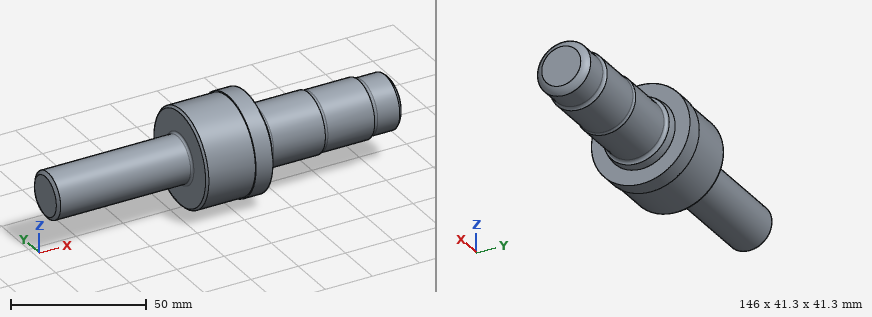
import cadquery as cq
import math

length = 146.0

shaft_radius = 9.6
shaft_tip_radius = 8.2
shaft_tip_length = 1.0
root_fillet = 0.9

head_start = 57.0
head_radius = 20.2
head_chamfer = 0.9
rim_start = 77.5
rim_end = 84.7
rim_diameter = 41.3
rim_radius = rim_diameter / 2

neck_end = 88.2
neck_start_radius = 14.5
neck_end_radius = 13.9
neck_bulge = 0.1

large_start = 89.7
large_end = 111.6
large_diameter = 25.0
large_radius = large_diameter / 2
middle_start = 112.9
middle_end = 132.8
middle_diameter = 24.1
middle_radius = middle_diameter / 2
small_start = 134.5
small_diameter = 22.3
small_radius = small_diameter / 2
nose_start = 143.9
nose_radius = 8.2
nose_bulge = 0.3


def bulged_point(start, end, bulge):
    """Midpoint of a descending chord, moved off the chord by bulge (outward if positive)."""
    dx = end[0] - start[0]
    dr = end[1] - start[1]
    chord = math.hypot(dx, dr)
    middle_x = (start[0] + end[0]) / 2
    middle_r = (start[1] + end[1]) / 2
    return (middle_x - bulge * dr / chord, middle_r + bulge * dx / chord)


def add_arc(outline, start, end, bulge):
    """Add the arc from start to end that rises by bulge above its chord."""
    return outline.threePointArc(bulged_point(start, end, bulge), end)


def add_step(outline, start, end):
    """Add a concave arc that runs out tangent to the smaller cylinder."""
    dx = end[0] - start[0]
    drop = start[1] - end[1]
    arc_radius = (dx**2 + drop**2) / (2 * drop)
    sagitta = arc_radius - math.sqrt(arc_radius**2 - (dx**2 + drop**2) / 4)
    return add_arc(outline, start, end, -sagitta)


def spindle_outline():
    """Closed half section: X along the axis, Y as the radius."""
    outline = (
        cq.Workplane("XY")
        .moveTo(0, 0)
        .lineTo(0, shaft_tip_radius)
        .lineTo(shaft_tip_length, shaft_radius)
        .lineTo(head_start - root_fillet, shaft_radius)
        .radiusArc((head_start, shaft_radius + root_fillet), -root_fillet)
        .lineTo(head_start, head_radius - head_chamfer)
        .lineTo(head_start + head_chamfer, head_radius)
        .lineTo(rim_start, head_radius)
        .lineTo(rim_start, rim_radius)
        .lineTo(rim_end, rim_radius)
        .lineTo(rim_end, neck_start_radius)
    )
    outline = add_arc(outline, (rim_end, neck_start_radius), (neck_end, neck_end_radius), neck_bulge)
    outline = add_step(outline, (neck_end, neck_end_radius), (large_start, large_radius))
    outline = outline.lineTo(large_end, large_radius)
    outline = add_step(outline, (large_end, large_radius), (middle_start, middle_radius))
    outline = outline.lineTo(middle_end, middle_radius)
    outline = add_step(outline, (middle_end, middle_radius), (small_start, small_radius))
    outline = outline.lineTo(nose_start, small_radius)
    outline = add_arc(outline, (nose_start, small_radius), (length, nose_radius), nose_bulge)
    return outline.lineTo(length, 0).close()


spindle = spindle_outline().revolve(360, (0, 0, 0), (1, 0, 0))
result = spindle.translate((-length / 2, 0, 0))